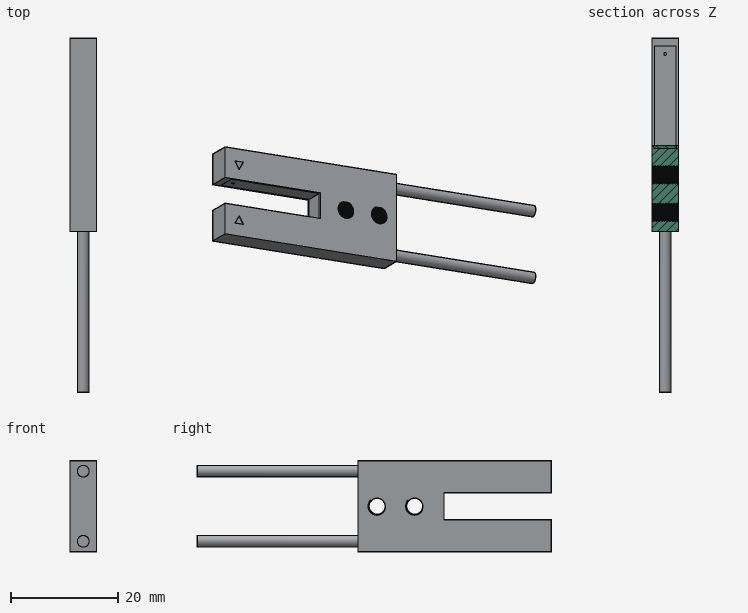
import cadquery as cq

TOTAL_LENGTH = 66.0
WIDTH = 5.0
HEIGHT = 17.0
HOUSING_LENGTH = 36.05
SLOT_HEIGHT = 5.0
SLOT_DEPTH = 20.0

HOLE_DIAMETER = 3.0
THREAD_ROOT_DIAMETER = 3.35
THREAD_PITCH = 0.5
THREAD_GROOVE_WIDTH = 0.4
THREAD_OVERLAP = 0.03
THREAD_OVERRUN = THREAD_PITCH
HOLE_TIP_DISTANCES = (25.5, 32.5)

LEAD_DIAMETER = 2.2
LEAD_EDGE_DISTANCE = 2.0

LINER_THICKNESS = 0.5
LINER_SIDE_MARGIN = 0.45
LINER_TIP_MARGIN = 1.5
APERTURE_DIAMETER = 0.5

BEAM_TIP_DISTANCE = 3.0
MARK_WIDTH = 1.7
MARK_HEIGHT = 1.5
MARK_EDGE_DISTANCE = 2.45
MARK_DEPTH = 0.1

TIP_Y = HOUSING_LENGTH
BEAM_Y = TIP_Y - BEAM_TIP_DISTANCE
SLOT_END_Y = TIP_Y - SLOT_DEPTH
LEAD_LENGTH = TOTAL_LENGTH - HOUSING_LENGTH
SIDES = (-1, 1)


def block(width, y_start, y_end, height):
    """Box centred on X and Z, running from y_start to y_end."""
    length = y_end - y_start
    return cq.Workplane("XY").box(width, length, height).translate((0, (y_start + y_end) / 2, 0))


def make_slot():
    """Open slot between the arms."""
    return block(WIDTH, SLOT_END_Y, TIP_Y, SLOT_HEIGHT)


def make_liner_envelope():
    """Outer block of the liner, including the open space between its arms."""
    return block(
        WIDTH - 2 * LINER_SIDE_MARGIN,
        SLOT_END_Y - LINER_THICKNESS,
        TIP_Y - LINER_TIP_MARGIN,
        SLOT_HEIGHT + 2 * LINER_THICKNESS,
    )


def make_liner():
    """U-shaped strip lining both slot walls and the slot end, with a beam aperture in each arm."""
    apertures = cq.Workplane("XY").center(0, BEAM_Y).circle(APERTURE_DIAMETER / 2)
    apertures = apertures.extrude(HEIGHT / 2, both=True)
    return make_liner_envelope().cut(make_slot()).cut(apertures)


def make_mounting_hole(y):
    """Threaded through hole along X: a plain bore plus a helical V-groove."""
    thread_length = WIDTH + 2 * THREAD_OVERRUN
    bore_radius = HOLE_DIAMETER / 2
    root_radius = THREAD_ROOT_DIAMETER / 2
    inner_radius = bore_radius - THREAD_OVERLAP
    groove_profile = [
        (inner_radius, -THREAD_GROOVE_WIDTH / 2),
        (root_radius, 0),
        (inner_radius, THREAD_GROOVE_WIDTH / 2),
    ]
    helix = cq.Workplane(obj=cq.Wire.makeHelix(THREAD_PITCH, thread_length, bore_radius))
    groove = cq.Workplane("XZ").polyline(groove_profile).close().sweep(helix, isFrenet=True)
    bore = cq.Workplane("XY").circle(bore_radius).extrude(thread_length)
    hole = bore.union(groove).translate((0, 0, -thread_length / 2))
    return hole.rotate((0, 0, 0), (0, 1, 0), 90).translate((0, y, 0))


def make_mark(side):
    """Triangle engraved in the -X face of one arm; side is +1 for the upper arm, -1 for the lower."""
    base_z = side * (HEIGHT / 2 - MARK_EDGE_DISTANCE)
    point_z = base_z - side * MARK_HEIGHT
    corners = [
        (BEAM_Y - MARK_WIDTH / 2, base_z),
        (BEAM_Y + MARK_WIDTH / 2, base_z),
        (BEAM_Y, point_z),
    ]
    return cq.Workplane("YZ", origin=(-WIDTH / 2, 0, 0)).polyline(corners).close().extrude(MARK_DEPTH)


def make_lead(side):
    """Round lead leaving the -Y face near the top (+1) or bottom (-1) edge."""
    z = side * (HEIGHT / 2 - LEAD_EDGE_DISTANCE)
    return cq.Workplane("XZ").center(0, z).circle(LEAD_DIAMETER / 2).extrude(LEAD_LENGTH)


def make_housing():
    """Fork block with its mounting holes, marks and integral leads."""
    housing = block(WIDTH, 0, TIP_Y, HEIGHT).cut(make_slot()).cut(make_liner_envelope())
    for distance in HOLE_TIP_DISTANCES:
        housing = housing.cut(make_mounting_hole(TIP_Y - distance))
    for side in SIDES:
        housing = housing.cut(make_mark(side))
        housing = housing.union(make_lead(side))
    return housing


housing = make_housing()
liner = make_liner()

result = cq.Compound.makeCompound([housing.val(), liner.val()])